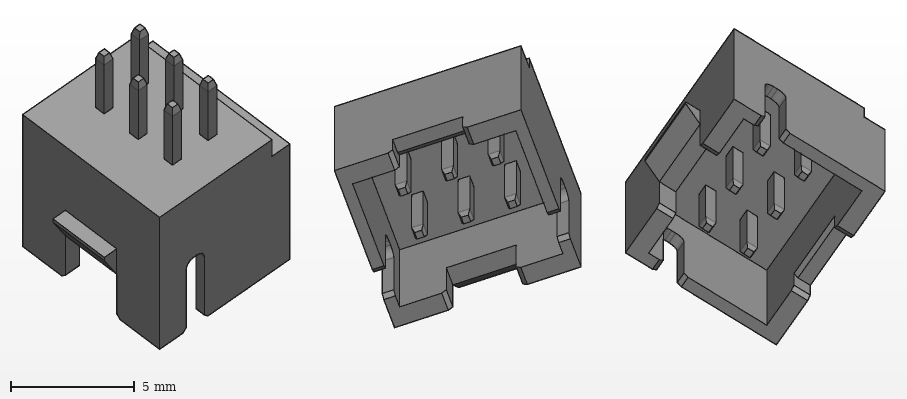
import cadquery as cq

body_width = 8.0
body_depth = 7.3
body_height = 7.7
overall_height = 10.9
edge_chamfer = 0.2

step_depth = 1.0
step_height = 0.97

end_wall = 0.8
side_wall = 0.5
roof = 1.7

notch_width = 3.0
front_notch_height = 2.51
rear_notch_height = 1.25

hook_top = 3.99
hook_reach = 0.7
hook_lip = 0.2

slot_front = 1.5
slot_width = 1.0
slot_height = 3.99
slot_radius = 0.4

columns = 3
rows = 2
pitch = 2.0
pin_width = 0.5
pin_bottom = 2.18
tip_length = 0.36
tip_width = 0.3


def box(width, depth, height, front, bottom):
    """Block centred on X, starting at the given front Y and bottom Z."""
    block = cq.Workplane("XY").box(width, depth, height, centered=(True, False, False))
    return block.translate((0, front, bottom))


def extrude_across(profile, width):
    """Extrude a YZ profile symmetrically along X."""
    return profile.extrude(width / 2, both=True)


def flared_opening(width, height):
    """Closed outline of an opening that widens at the mouth by a chamfer on each side."""
    half = width / 2
    return [
        (-half - edge_chamfer, 0),
        (-half, edge_chamfer),
        (-half, height),
        (half, height),
        (half, edge_chamfer),
        (half + edge_chamfer, 0),
    ]


def make_shell():
    shell = box(body_width, body_depth, body_height, 0, 0)
    step = box(body_width, step_depth, step_height, body_depth - step_depth, body_height - step_height)
    cavity = box(body_width - 2 * side_wall, body_depth - 2 * end_wall, body_height - roof, end_wall, 0)
    return shell.cut(step).cut(cavity)


def make_front_notch():
    outline = flared_opening(notch_width, front_notch_height)
    return cq.Workplane("XZ").polyline(outline).close().extrude(-end_wall)


def make_rear_notch():
    """Rear notch whose top edge is chamfered on the cavity side."""
    inner_face = body_depth - end_wall
    outline = flared_opening(notch_width, rear_notch_height)
    notch = cq.Workplane("XZ", origin=(0, inner_face, 0)).polyline(outline).close().extrude(-end_wall)
    bevel = cq.Workplane("YZ").polyline([
        (inner_face, rear_notch_height),
        (inner_face, rear_notch_height + edge_chamfer),
        (inner_face + edge_chamfer, rear_notch_height),
    ]).close()
    return notch.union(extrude_across(bevel, notch_width))


def make_side_slots():
    outline = flared_opening(slot_width, slot_height)
    profile = cq.Workplane("YZ").polyline(outline).close()
    slots = extrude_across(profile, body_width)
    slots = slots.edges("|X").edges(">Z").fillet(slot_radius)
    return slots.translate((0, slot_front + slot_width / 2, 0))


def make_hook():
    profile = cq.Workplane("YZ").polyline([
        (0, front_notch_height),
        (-hook_reach, hook_top - hook_lip),
        (-hook_reach, hook_top),
        (0, hook_top),
    ]).close()
    return extrude_across(profile, notch_width)


def make_pin():
    """Square pin with a tapered tip at each end."""
    shank_bottom = pin_bottom + tip_length
    shank_top = overall_height - tip_length
    pin = cq.Workplane("XY").workplane(offset=shank_bottom).rect(pin_width, pin_width)
    pin = pin.extrude(shank_top - shank_bottom)
    for shank_end, pin_end in [(shank_bottom, pin_bottom), (shank_top, overall_height)]:
        tip = cq.Workplane("XY").workplane(offset=shank_end).rect(pin_width, pin_width)
        tip = tip.workplane(offset=pin_end - shank_end).rect(tip_width, tip_width).loft()
        pin = pin.union(tip)
    return pin


result = make_shell().cut(make_front_notch()).cut(make_rear_notch()).cut(make_side_slots())
result = result.union(make_hook())

pin = make_pin()
for column in range(columns):
    for row in range(rows):
        x = (column - (columns - 1) / 2) * pitch
        y = body_depth / 2 + (row - (rows - 1) / 2) * pitch
        result = result.union(pin.translate((x, y, 0)))